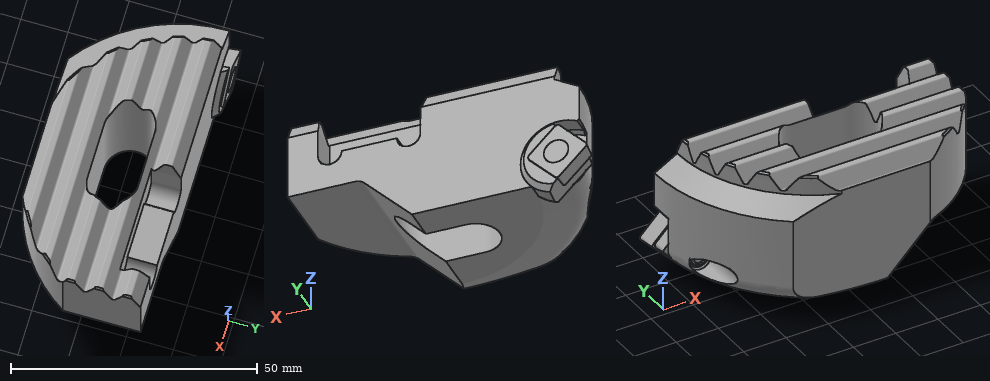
import cadquery as cq
import math


HOLDER_WIDTH = 29.82
HOLDER_HEIGHT = 29.6
RIGHT_END_X = 27.0
OVERALL_LENGTH = 66.34
NECK_RADIUS = 31.6
NECK_DEPTH = 4.5
FLANK_RADIUS = 37.0
SHOULDER_DEPTH = 7.5
BOTTOM_FILLET = 4.35
BOTTOM_SLOPE = 15.0
TIP_BREAK = 0.4

TAIL_DEPTH = 18.3
FOOT_X = -0.3
TAIL_CORNER_X = FOOT_X + HOLDER_HEIGHT - TAIL_DEPTH
TAIL_FILLET = 3.0

TOOTH_PITCH = 6.0
TOOTH_COUNT = 5
FIRST_GROOVE_Y = 0.18
TOOTH_DEPTH = 3.75
TOOTH_FLANK_ANGLE = 27.0
TOOTH_TIP_WIDTH = 1.6
TOOTH_TIP_FILLET = 0.45

SLOT_LENGTH = 22.7
SLOT_WIDTH = 10.65
SLOT_X = -3.0
SLOT_Y = -12.93

KEYWAY_X = 9.05
KEYWAY_LENGTH = 22.5
KEYWAY_WIDTH = 6.3
KEYWAY_DEPTH = 10.0
KEYWAY_FLARE = 0.55
TROUGH_RADIUS = 2.6

TIP_X = RIGHT_END_X - OVERALL_LENGTH
INSERT_SIDE = 9.525
NOSE_RADIUS = 0.8
RELIEF_ANGLE = 7.0
INSERT_THICKNESS = 3.97
INSERT_FACE_Y = 1.8
INSERT_BACK_Y = INSERT_FACE_Y - INSERT_THICKNESS
NOSE_REACH = INSERT_SIDE / math.sqrt(2) - NOSE_RADIUS * (math.sqrt(2) - 1)
INSERT_X = TIP_X + NOSE_REACH
INSERT_Z = -23.6

SEAT_X = -32.7
SEAT_RADIUS = 8.55
SEAT_FACE_Y = 1.2
SEAT_BACK_Y = -4.95
SEAT_FACE_CHAMFER = 1.2
SEAT_BACK_CHAMFER = 0.5
SEAT_BACK_CHAMFER_HEIGHT = 1.2
SEAT_INSET = 0.15
SEAT_NOSE_RADIUS = 1.4
SEAT_TRIM_SIDE = 21.0
POCKET_EDGE_RISE = 3.69

SCREW_HOLE_RADIUS = 2.6
SCREW_HOLE_END_Y = -11.0
SLEEVE_RADIUS = 2.2
SLEEVE_HEAD_RADIUS = 3.2
SLEEVE_HEAD_HEIGHT = 1.4
SLEEVE_END_Y = SCREW_HOLE_END_Y + SCREW_HOLE_RADIUS - SLEEVE_RADIUS
SCREW_RADIUS = 1.8
SCREW_TIP_CHAMFER = 0.6
SCREW_HEAD_RADIUS = 2.7

CLEAR = 50.0


def turned(points):
    """Solid turned about the seat and screw axis from (radius, y) points."""
    sketch = cq.Workplane("XY", origin=(SEAT_X, 0, INSERT_Z)).polyline(points).close()
    return sketch.revolve(360, (0, 0), (0, 1))


def leaning_diamond(center_x, y_high, y_low, side, nose):
    """Square prism standing on a rounded corner, its sides leaning in towards y_low."""
    plane = cq.Plane(origin=(center_x, y_high, INSERT_Z), xDir=(1, 0, 1), normal=(0, -1, 0))
    outline = cq.Sketch().rect(side, side).vertices().fillet(nose)
    return cq.Workplane(plane).placeSketch(outline).extrude(y_high - y_low, taper=RELIEF_ANGLE)


def turned_blank():
    """Narrow neck, conical shoulder, round flank, bottom fillet and sloping bottom."""
    slope = math.radians(BOTTOM_SLOPE)
    fillet_top = INSERT_Z
    fillet_center_r = FLANK_RADIUS - BOTTOM_FILLET
    mid = (math.pi / 2 - slope) / 2
    fillet_end_r = fillet_center_r + BOTTOM_FILLET * math.sin(slope)
    fillet_end_z = fillet_top - BOTTOM_FILLET * math.cos(slope)
    cone_end_r = fillet_end_r - (fillet_end_z + HOLDER_HEIGHT) / math.tan(slope)
    profile = (
        cq.Workplane("XZ")
        .lineTo(NECK_RADIUS - TIP_BREAK, 0)
        .lineTo(NECK_RADIUS, -TIP_BREAK)
        .lineTo(NECK_RADIUS, -NECK_DEPTH)
        .lineTo(FLANK_RADIUS, -SHOULDER_DEPTH)
        .lineTo(FLANK_RADIUS, fillet_top)
        .threePointArc(
            (fillet_center_r + BOTTOM_FILLET * math.cos(mid), fillet_top - BOTTOM_FILLET * math.sin(mid)),
            (fillet_end_r, fillet_end_z),
        )
        .lineTo(cone_end_r, -HOLDER_HEIGHT)
        .lineTo(0, -HOLDER_HEIGHT)
        .close()
    )
    return profile.revolve(360, (0, 0), (0, 1))


def side_outline():
    """Holder as seen along Y: a deep body, a 45 degree slope and a shallow tail."""
    body = (
        cq.Workplane("XZ")
        .moveTo(-CLEAR, 0)
        .lineTo(RIGHT_END_X - TIP_BREAK, 0)
        .lineTo(RIGHT_END_X, -TIP_BREAK)
        .lineTo(RIGHT_END_X, -TAIL_DEPTH)
        .lineTo(TAIL_CORNER_X, -TAIL_DEPTH)
        .lineTo(FOOT_X, -HOLDER_HEIGHT)
        .lineTo(-CLEAR, -HOLDER_HEIGHT)
        .close()
        .extrude(HOLDER_WIDTH)
    )
    corner = cq.selectors.NearestToPointSelector((TAIL_CORNER_X, -HOLDER_WIDTH / 2, -TAIL_DEPTH))
    return body.edges(corner).fillet(TAIL_FILLET)


def plan_limit():
    """Left half free, right half held to the neck radius over the full height."""
    left = cq.Workplane("XY").box(CLEAR, 2 * CLEAR, CLEAR, centered=(False, True, False))
    left = left.translate((-CLEAR, 0, -CLEAR))
    return left.union(cq.Workplane("XY").circle(NECK_RADIUS).extrude(-CLEAR))


def groove(y):
    """Cutter for one V groove with a full round root, centred at y."""
    flank = math.radians(TOOTH_FLANK_ANGLE)
    top_half = (TOOTH_PITCH - TOOTH_TIP_WIDTH) / 2
    apex_depth = top_half / math.tan(flank)
    root_radius = (apex_depth - TOOTH_DEPTH) / (1 / math.sin(flank) - 1)
    tangent_half = root_radius * math.cos(flank)
    tangent_z = -TOOTH_DEPTH + root_radius * (1 - math.sin(flank))
    return (
        cq.Workplane("YZ", origin=(-CLEAR, y, 0))
        .moveTo(-top_half, 0)
        .lineTo(-tangent_half, tangent_z)
        .threePointArc((0, -TOOTH_DEPTH), (tangent_half, tangent_z))
        .lineTo(top_half, 0)
        .close()
        .extrude(2 * CLEAR)
    )


def toothed(body):
    """Body with grooves along X, leaving teeth with rounded tips."""
    for index in range(TOOTH_COUNT + 1):
        body = body.cut(groove(FIRST_GROOVE_Y - index * TOOTH_PITCH))
    tips = body.faces(">Z")
    return tips.edges("|X").fillet(TOOTH_TIP_FILLET)


def slot():
    """Elongated hole right through the holder."""
    outline = cq.Workplane("XY").center(SLOT_X, SLOT_Y).slot2D(SLOT_LENGTH, SLOT_WIDTH)
    return outline.extrude(-CLEAR)


def keyway():
    """Pocket open to the mounting side, with a round trough along each end of its floor."""
    half = KEYWAY_LENGTH / 2
    top_half = half + KEYWAY_FLARE
    trough_bottom = -KEYWAY_DEPTH - TROUGH_RADIUS
    land_half = half - 2 * TROUGH_RADIUS
    trough_x = half - TROUGH_RADIUS
    return (
        cq.Workplane("XZ", origin=(KEYWAY_X, 0, 0))
        .moveTo(-top_half, 0)
        .lineTo(-half, -TOOTH_DEPTH)
        .lineTo(-half, -KEYWAY_DEPTH)
        .threePointArc((-trough_x, trough_bottom), (-land_half, -KEYWAY_DEPTH))
        .lineTo(land_half, -KEYWAY_DEPTH)
        .threePointArc((trough_x, trough_bottom), (half, -KEYWAY_DEPTH))
        .lineTo(half, -TOOTH_DEPTH)
        .lineTo(top_half, 0)
        .close()
        .extrude(KEYWAY_WIDTH)
    )


def seat_disc():
    """Full round seat blank, chamfered on both faces."""
    return turned([
        (0, SEAT_FACE_Y),
        (SEAT_RADIUS - SEAT_FACE_CHAMFER, SEAT_FACE_Y),
        (SEAT_RADIUS, SEAT_FACE_Y - SEAT_FACE_CHAMFER),
        (SEAT_RADIUS, SEAT_BACK_Y + SEAT_BACK_CHAMFER_HEIGHT),
        (SEAT_RADIUS - SEAT_BACK_CHAMFER, SEAT_BACK_Y),
        (0, SEAT_BACK_Y),
    ])


def seat_pocket():
    """Room for the seat, open to the left below a 45 degree edge and downwards."""
    opening = (
        cq.Workplane("XZ", origin=(SEAT_X, 0, INSERT_Z))
        .polyline([
            (0, POCKET_EDGE_RISE),
            (0, -CLEAR),
            (-CLEAR, -CLEAR),
            (-CLEAR, POCKET_EDGE_RISE + CLEAR),
        ])
        .close()
        .extrude(-SEAT_BACK_Y)
    )
    return opening.union(seat_disc())


def screw_hole():
    """Stepped bore: the sleeve's own size, then a cone out to a wider exit."""
    return turned([
        (0, SEAT_BACK_Y),
        (SLEEVE_RADIUS, SEAT_BACK_Y),
        (SLEEVE_RADIUS, SLEEVE_END_Y),
        (SCREW_HOLE_RADIUS, SCREW_HOLE_END_Y),
        (SCREW_HOLE_RADIUS, -HOLDER_WIDTH),
        (0, -HOLDER_WIDTH),
    ])


def make_holder():
    """Toothed holder with its slot, keyway, seat pocket and screw hole."""
    body = side_outline().intersect(turned_blank()).intersect(plan_limit())
    body = toothed(body)
    for cutter in (slot(), keyway(), seat_pocket(), screw_hole()):
        body = body.cut(cutter)
    return body


def make_sleeve():
    """Threaded sleeve that holds the seat and takes the insert screw."""
    head_y = INSERT_BACK_Y - SLEEVE_HEAD_HEIGHT
    return turned([
        (SCREW_RADIUS, INSERT_BACK_Y),
        (SLEEVE_HEAD_RADIUS, INSERT_BACK_Y),
        (SLEEVE_HEAD_RADIUS, head_y),
        (SLEEVE_RADIUS, head_y),
        (SLEEVE_RADIUS, SLEEVE_END_Y),
        (SCREW_RADIUS, SLEEVE_END_Y),
    ])


def make_screw():
    """Countersunk insert screw, its head flush with the insert and its tip bevelled."""
    return turned([
        (0, INSERT_FACE_Y),
        (SCREW_HEAD_RADIUS, INSERT_FACE_Y),
        (SCREW_RADIUS, INSERT_FACE_Y - (SCREW_HEAD_RADIUS - SCREW_RADIUS)),
        (SCREW_RADIUS, SLEEVE_END_Y + SCREW_TIP_CHAMFER),
        (SCREW_RADIUS - SCREW_TIP_CHAMFER, SLEEVE_END_Y),
        (0, SLEEVE_END_Y),
    ])


def insert_blank():
    """Square cutting insert without its screw hole."""
    return leaning_diamond(INSERT_X, INSERT_FACE_Y, INSERT_BACK_Y, INSERT_SIDE, NOSE_RADIUS)


def make_insert():
    """Insert with a countersunk hole that fits the screw."""
    return insert_blank().cut(make_screw())


def sleeve_bore():
    """Stepped hole through the seat for the sleeve."""
    head_y = INSERT_BACK_Y - SLEEVE_HEAD_HEIGHT
    return turned([
        (0, INSERT_BACK_Y),
        (SLEEVE_HEAD_RADIUS, INSERT_BACK_Y),
        (SLEEVE_HEAD_RADIUS, head_y),
        (SLEEVE_RADIUS, head_y),
        (SLEEVE_RADIUS, SEAT_BACK_Y),
        (0, SEAT_BACK_Y),
    ])


def make_seat():
    """Round seat trimmed to a corner just inside the insert, with a pocket for the insert."""
    lean = math.tan(math.radians(RELIEF_ANGLE))
    inset_half = INSERT_SIDE / 2 - SEAT_INSET - (INSERT_FACE_Y - SEAT_FACE_Y) * lean
    trim_x = SEAT_X + (SEAT_TRIM_SIDE / 2 - inset_half) * math.sqrt(2)
    trim = leaning_diamond(trim_x, SEAT_FACE_Y, SEAT_BACK_Y, SEAT_TRIM_SIDE, SEAT_NOSE_RADIUS)
    return seat_disc().intersect(trim).cut(insert_blank()).cut(sleeve_bore())


holder = make_holder()
seat = make_seat()
insert = make_insert()
sleeve = make_sleeve()
screw = make_screw()

result = cq.Compound.makeCompound([
    holder.val(),
    seat.val(),
    insert.val(),
    sleeve.val(),
    screw.val(),
])